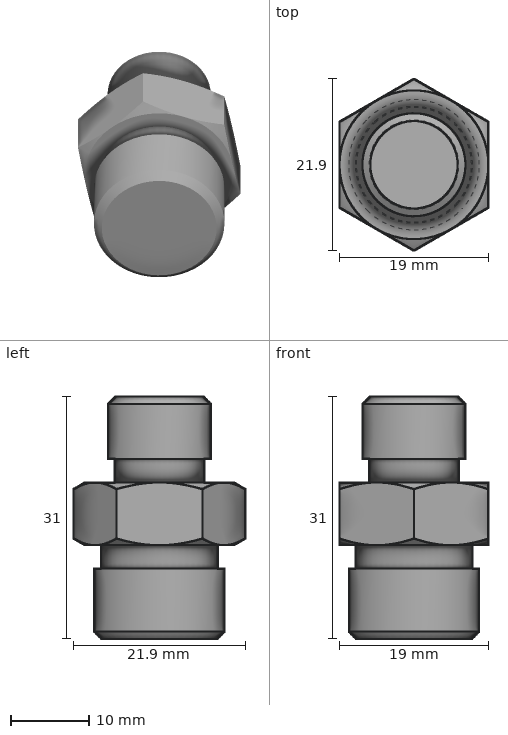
import cadquery as cq
import math

lower_thread_length = 9.0
lower_neck_length = 3.0
hex_height = 8.0
upper_neck_length = 3.0
upper_thread_length = 8.0

lower_thread_diameter = 16.662
lower_neck_diameter = 14.95
upper_neck_diameter = 11.445
upper_thread_diameter = 13.157

end_chamfer = 1.0
hex_sides = 6
hex_across_flats = 19.0
hex_chamfer_angle = 30.0
cone_overrun = 1.0

lower_neck_z = lower_thread_length
hex_z = lower_neck_z + lower_neck_length
upper_neck_z = hex_z + hex_height
upper_thread_z = upper_neck_z + upper_neck_length
hex_corner_radius = hex_across_flats / 2 / math.cos(math.pi / hex_sides)


def cylinder(diameter, bottom_z, length):
    """Upright cylinder centred on the Z axis."""
    return cq.Workplane("XY").workplane(offset=bottom_z).circle(diameter / 2).extrude(length)


def chamfered_hexagon():
    """Hexagon with flats facing +X and -X, its corners turned off by a cone at both ends."""
    prism = (
        cq.Workplane("XY")
        .workplane(offset=hex_z)
        .polygon(hex_sides, 2 * hex_corner_radius)
        .extrude(hex_height)
        .rotate((0, 0, 0), (0, 0, 1), 180 / hex_sides)
    )

    face_radius = hex_across_flats / 2
    outer_radius = hex_corner_radius + cone_overrun
    cone_height = (outer_radius - face_radius) * math.tan(math.radians(hex_chamfer_angle))
    envelope = (
        cq.Workplane("XZ")
        .moveTo(0, hex_z)
        .lineTo(face_radius, hex_z)
        .lineTo(outer_radius, hex_z + cone_height)
        .lineTo(outer_radius, upper_neck_z - cone_height)
        .lineTo(face_radius, upper_neck_z)
        .lineTo(0, upper_neck_z)
        .close()
        .revolve(360, (0, 0, 0), (0, 1, 0))
    )
    return prism.intersect(envelope)


lower_thread = (
    cylinder(lower_thread_diameter, 0, lower_thread_length)
    .faces("<Z")
    .chamfer(end_chamfer)
)
lower_neck = cylinder(lower_neck_diameter, lower_neck_z, lower_neck_length)
upper_neck = cylinder(upper_neck_diameter, upper_neck_z, upper_neck_length)
upper_thread = (
    cylinder(upper_thread_diameter, upper_thread_z, upper_thread_length)
    .faces(">Z")
    .chamfer(end_chamfer)
)

result = lower_thread.union(lower_neck).union(chamfered_hexagon()).union(upper_neck).union(upper_thread)